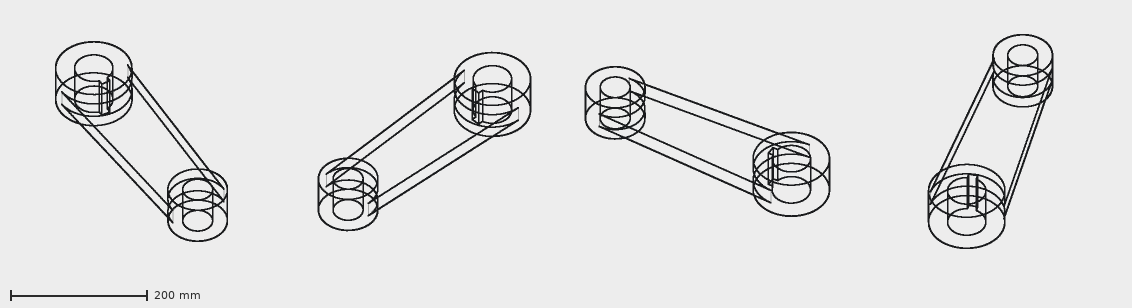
import cadquery as cq
import math

length = 400.0
height = 63.0
large_diameter = 112.5
small_diameter = 87.5
large_radius = large_diameter / 2
small_radius = small_diameter / 2
center_distance = length - large_radius - small_radius
arm_thickness = 25.0

large_bore = 56.5
small_bore = 44.0
key_width = 13.5
key_reach = 35.0


def boss(x, diameter):
    """Full-height cylinder centered on the mid-plane."""
    return cq.Workplane("XY").center(x, 0).circle(diameter / 2).extrude(height / 2, both=True)


def tapered_arm():
    """Plate whose straight sides are tangent to both bosses."""
    tangent_cos = (large_radius - small_radius) / center_distance
    tangent_sin = math.sqrt(1 - tangent_cos**2)
    large_x = large_radius * tangent_cos
    large_y = large_radius * tangent_sin
    small_x = center_distance + small_radius * tangent_cos
    small_y = small_radius * tangent_sin
    corners = [(large_x, -large_y), (small_x, -small_y), (small_x, small_y), (large_x, large_y)]
    return cq.Workplane("XY").polyline(corners).close().extrude(arm_thickness / 2, both=True)


def bore(x, diameter):
    """Through-hole cutter."""
    return boss(x, diameter)


def keyway():
    """Cutter for the slot on the arm side of the large bore."""
    return cq.Workplane("XY").center(key_reach / 2, 0).rect(key_reach, key_width).extrude(height / 2, both=True)


body = boss(0, large_diameter).union(boss(center_distance, small_diameter)).union(tapered_arm())
result = body.cut(bore(0, large_bore)).cut(bore(center_distance, small_bore)).cut(keyway())